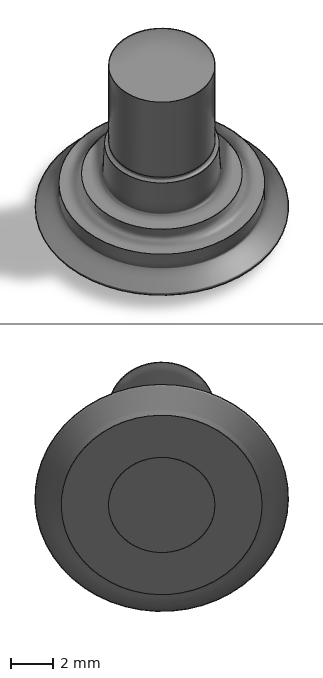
import cadquery as cq
import math

flange_radius = 5.97
total_height = 10.0

pin_radius = 2.51

rim_height = 0.74
rim_round = 0.1
flange_angle = math.radians(28)
bottom_radius = 4.73
bottom_bevel_height = 0.12
bottom_bevel_radius = 4.93

step_radius = 4.85
step_top = 2.3
step_fillet = 0.11

shoulder_top = 2.91
shoulder_top_radius = 3.78
shoulder_angle = math.radians(65)
flare_radius = 0.63

collar_base_radius = 2.78
collar_top_radius = 2.7
collar_top = 4.9
collar_fillet = 0.18


def make_pin():
    """Plain round pin from the underside to the top."""
    return cq.Workplane("XY").circle(pin_radius).extrude(total_height)


def make_body():
    """Revolved flange, step, shoulder and collar with a through hole for the pin."""
    rim_center = flange_radius - rim_round
    rim_edge = rim_center + rim_round * math.sin(flange_angle)
    rim_half_height = rim_round * math.cos(flange_angle)
    rim_top = rim_height + rim_half_height
    cone_slope = math.tan(flange_angle)

    fillet_turn = math.pi / 2 - flange_angle
    fillet_center_radius = step_radius + step_fillet
    fillet_end_radius = fillet_center_radius - step_fillet * math.cos(fillet_turn)
    fillet_end = rim_top + (rim_edge - fillet_end_radius) * cone_slope
    fillet_center = fillet_end + step_fillet * math.sin(fillet_turn)
    fillet_mid = (
        fillet_center_radius - step_fillet * math.cos(fillet_turn / 2),
        fillet_center - step_fillet * math.sin(fillet_turn / 2),
    )

    flare_center = step_top + flare_radius
    flare_top = flare_center - flare_radius * math.cos(shoulder_angle)
    flare_top_radius = shoulder_top_radius + (shoulder_top - flare_top) / math.tan(shoulder_angle)
    flare_center_radius = flare_top_radius + flare_radius * math.sin(shoulder_angle)
    flare_mid = (
        flare_center_radius - flare_radius * math.sin(shoulder_angle / 2),
        flare_center - flare_radius * math.cos(shoulder_angle / 2),
    )

    quarter_inset = 1 - math.sqrt(0.5)
    base_mid = collar_fillet * quarter_inset
    pin_fillet = collar_top_radius - pin_radius
    pin_mid = pin_fillet * quarter_inset

    profile = (
        cq.Workplane("XZ")
        .moveTo(pin_radius, 0)
        .lineTo(bottom_radius, 0)
        .lineTo(bottom_bevel_radius, bottom_bevel_height)
        .lineTo(rim_edge, rim_height - rim_half_height)
        .threePointArc((flange_radius, rim_height), (rim_edge, rim_top))
        .lineTo(fillet_end_radius, fillet_end)
        .threePointArc(fillet_mid, (step_radius, fillet_center))
        .lineTo(step_radius, step_top)
        .lineTo(flare_center_radius, step_top)
        .threePointArc(flare_mid, (flare_top_radius, flare_top))
        .lineTo(shoulder_top_radius, shoulder_top)
        .lineTo(collar_base_radius + collar_fillet, shoulder_top)
        .threePointArc(
            (collar_base_radius + base_mid, shoulder_top + base_mid),
            (collar_base_radius, shoulder_top + collar_fillet),
        )
        .lineTo(collar_top_radius, collar_top)
        .threePointArc(
            (pin_radius + pin_mid, collar_top + pin_mid),
            (pin_radius, collar_top + pin_fillet),
        )
        .close()
    )
    return profile.revolve(360, (0, 0, 0), (0, 1, 0))


pin = make_pin()
body = make_body()

result = cq.Compound.makeCompound([pin.val(), body.val()])